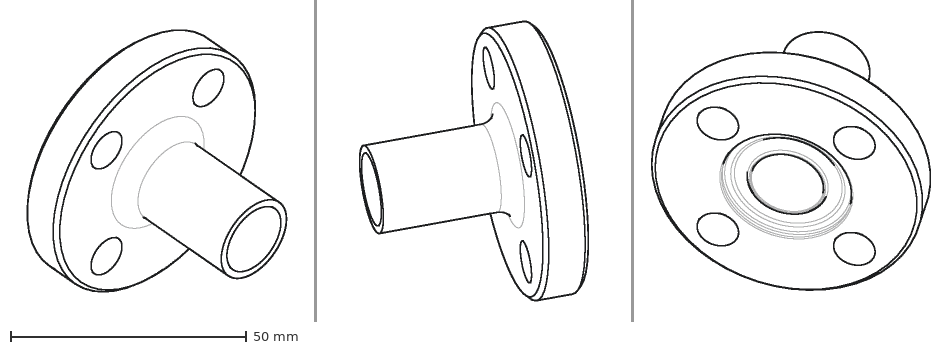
import cadquery as cq
import math

flange_radius = 29.5
flange_thickness = 10.05
edge_chamfer = 1.0
total_length = 40.0
pipe_radius = 19.05 / 2
bore_radius = 15.75 / 2
neck_fillet = 4.0

hole_count = 4
hole_diameter = 9.0
bolt_circle_radius = 21.0

recess_radius = 28.4 / 2
recess_depth = 1.55
mouth_round = 0.3
corner_round = 0.4

groove_outer_radius = 11.75
groove_inner_radius = 8.8
groove_rim_width = 0.7
groove_rim_angle = math.radians(60)
lip_round = 0.5
lip_crest_depth = 1.0
bore_mouth_round = 0.2

CONVEX = -1
CONCAVE = 1


def make_body():
    """Chamfered flange with a pipe joined by a concave neck fillet."""
    rear_chamfer_start = flange_thickness - edge_chamfer
    profile = (
        cq.Workplane("XY")
        .moveTo(0, 0)
        .lineTo(0, flange_radius - edge_chamfer)
        .lineTo(edge_chamfer, flange_radius)
        .lineTo(rear_chamfer_start, flange_radius)
        .lineTo(flange_thickness, flange_radius - edge_chamfer)
        .lineTo(flange_thickness, pipe_radius + neck_fillet)
        .radiusArc((flange_thickness + neck_fillet, pipe_radius), -neck_fillet)
        .lineTo(total_length, pipe_radius)
        .lineTo(total_length, 0)
        .close()
    )
    return profile.revolve(360, (0, 0, 0), (1, 0, 0))


def make_front_cavity():
    """Bore, rounded lip, seal groove and shallow recess as one revolved cutter."""
    rim_round = groove_rim_width / math.sin(groove_rim_angle)
    rim_depth = recess_depth + rim_round * (1 - math.cos(groove_rim_angle))
    lip_depth = lip_crest_depth + lip_round
    profile = (
        cq.Workplane("XY")
        .moveTo(0, 0)
        .lineTo(0, recess_radius + mouth_round)
        .radiusArc((mouth_round, recess_radius), CONVEX * mouth_round)
        .lineTo(recess_depth - corner_round, recess_radius)
        .radiusArc((recess_depth, recess_radius - corner_round), CONCAVE * corner_round)
        .lineTo(recess_depth, groove_outer_radius + groove_rim_width)
        .radiusArc((rim_depth, groove_outer_radius), CONVEX * rim_round)
        .tangentArcPoint((lip_depth, groove_inner_radius), relative=False)
        .radiusArc((lip_crest_depth, groove_inner_radius - lip_round), CONVEX * lip_round)
        .lineTo(lip_crest_depth, bore_radius + bore_mouth_round)
        .radiusArc((lip_crest_depth + bore_mouth_round, bore_radius), CONVEX * bore_mouth_round)
        .lineTo(total_length, bore_radius)
        .lineTo(total_length, 0)
        .close()
    )
    return profile.revolve(360, (0, 0, 0), (1, 0, 0))


def make_bolt_holes():
    """Through holes on the diagonals of the flange."""
    return (
        cq.Workplane("YZ")
        .polarArray(bolt_circle_radius, 180 / hole_count, 360, hole_count)
        .circle(hole_diameter / 2)
        .extrude(flange_thickness)
    )


result = make_body().cut(make_front_cavity()).cut(make_bolt_holes())